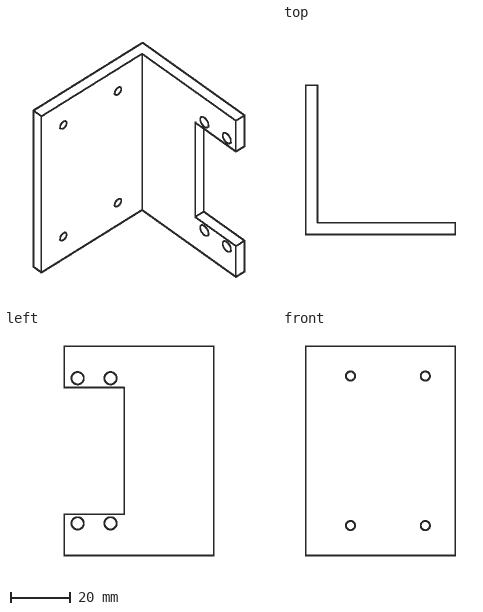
import cadquery as cq

height = 70.0
leg_length = 50.0
thickness = 4.0

front_hole_diameter = 3.0
front_hole_first_x = 15.0
front_hole_spacing_x = 25.0
front_hole_spacing_z = 50.0

notch_depth = 20.0
notch_height = 42.3

tab_hole_diameter = 4.05
tab_hole_edge_distance = 4.5
tab_hole_spacing_y = 11.0
tab_hole_spacing_z = 48.5

mid_z = height / 2


def hole_grid(first, spacing, spacing_z):
    """Four hole centres: two columns, mirrored about mid height."""
    return [
        (across, mid_z + side * spacing_z / 2)
        for across in (first, first + spacing)
        for side in (-1, 1)
    ]


def make_angle():
    """L-shaped profile with its outer corner at the origin."""
    front_leg = cq.Workplane("XY").box(leg_length, thickness, height, centered=False)
    side_leg = cq.Workplane("XY").box(thickness, leg_length, height, centered=False)
    return front_leg.union(side_leg)


def make_front_holes():
    """Cutters along Y through the front leg."""
    centres = hole_grid(front_hole_first_x, front_hole_spacing_x, front_hole_spacing_z)
    return (
        cq.Workplane("XZ")
        .pushPoints(centres)
        .circle(front_hole_diameter / 2)
        .extrude(-thickness)
    )


def make_notch():
    """Rectangular cutter open to the free edge of the side leg."""
    return (
        cq.Workplane("YZ")
        .center(leg_length - notch_depth / 2, mid_z)
        .rect(notch_depth, notch_height)
        .extrude(thickness)
    )


def make_tab_holes():
    """Cutters along X through the tabs of the side leg."""
    first_y = leg_length - tab_hole_edge_distance - tab_hole_spacing_y
    centres = hole_grid(first_y, tab_hole_spacing_y, tab_hole_spacing_z)
    return (
        cq.Workplane("YZ")
        .pushPoints(centres)
        .circle(tab_hole_diameter / 2)
        .extrude(thickness)
    )


result = make_angle().cut(make_front_holes()).cut(make_notch()).cut(make_tab_holes())